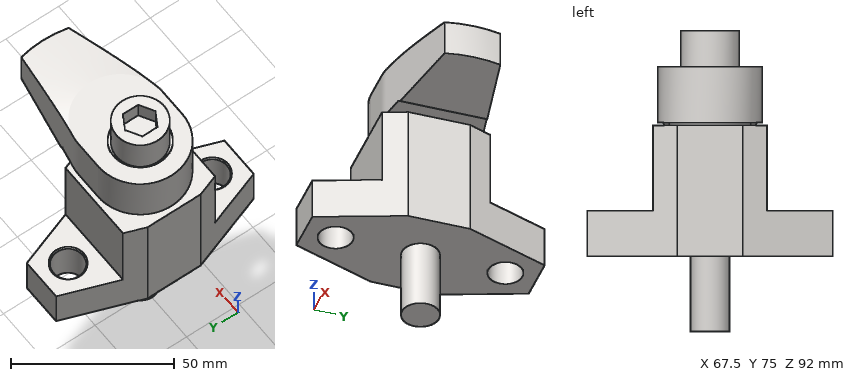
import cadquery as cq
import math


total_height = 92.0
base_height = 40.0
screw_protrusion = 23.0
head_rise = 11.0
lever_top = total_height - screw_protrusion - head_rise

base_half_width = 17.5
base_side_half_length = 10.0
base_half_length = 37.5
base_end_half_width = 7.5
flange_thickness = 14.0
block_length = 35.0
mount_hole_diameter = 11.0
mount_hole_offset = 27.4
mount_hole_chamfer = 0.5

shank_diameter = 12.0
head_diameter = 18.0
socket_across_flats = 10.0
socket_depth = 6.0
head_recess = 1.0

hub_radius = 16.0
hub_centre_spacing = 10.0
hub_gap = 0.8
collar_diameter = 25.0
counterbore_diameter = 20.0
tip_radius = 40.0
tip_half_width = 9.0
tip_drop = 6.0
pad_start = 21.8
cutter_margin = 4.6


def make_base():
    """Tapered flange with a raised centre block, mounting holes and screw bore."""
    quarter = [
        (base_end_half_width, base_half_length),
        (base_half_width, base_side_half_length),
    ]
    right_side = quarter + [(x, -y) for x, y in reversed(quarter)]
    outline = right_side + [(-x, y) for x, y in reversed(right_side)]
    body = cq.Workplane("XY").polyline(outline).close().extrude(base_height)

    for side in (-1, 1):
        cut_length = base_half_length - block_length / 2
        step = (
            cq.Workplane("XY", origin=(0, side * (block_length + cut_length) / 2, flange_thickness))
            .box(2 * base_half_width, cut_length, base_height - flange_thickness,
                 centered=(True, True, False))
        )
        body = body.cut(step)

    holes = (
        cq.Workplane("XY")
        .pushPoints([(0, -mount_hole_offset), (0, mount_hole_offset)])
        .circle(mount_hole_diameter / 2)
        .extrude(flange_thickness)
    )
    holes = holes.union(
        cq.Workplane("XY", origin=(0, 0, flange_thickness - mount_hole_chamfer))
        .pushPoints([(0, -mount_hole_offset), (0, mount_hole_offset)])
        .circle(mount_hole_diameter / 2)
        .extrude(mount_hole_chamfer, taper=-45)
    )
    bore = cq.Workplane("XY").circle(shank_diameter / 2).extrude(base_height)
    return body.cut(holes).cut(bore)


def lever_plan():
    """Round-ended hub whose far end runs tangentially into a tapered arm."""
    corner_x = math.sqrt(tip_radius**2 - tip_half_width**2)
    corner_angle = math.atan2(tip_half_width, corner_x)
    tangent_angle = corner_angle + math.acos(hub_radius / tip_radius)

    def around_hub(radius, angle):
        return (hub_centre_spacing + radius * math.cos(angle), radius * math.sin(angle))

    return (
        cq.Workplane("XY", origin=(0, 0, base_height))
        .moveTo(0, -hub_radius)
        .lineTo(hub_centre_spacing, -hub_radius)
        .threePointArc(around_hub(hub_radius, -(math.pi / 2 + tangent_angle) / 2),
                       around_hub(hub_radius, -tangent_angle))
        .lineTo(*around_hub(tip_radius, -corner_angle))
        .threePointArc(around_hub(tip_radius, 0), around_hub(tip_radius, corner_angle))
        .lineTo(*around_hub(hub_radius, tangent_angle))
        .threePointArc(around_hub(hub_radius, (math.pi / 2 + tangent_angle) / 2),
                       (hub_centre_spacing, hub_radius))
        .lineTo(0, hub_radius)
        .threePointArc((-hub_radius, 0), (0, -hub_radius))
        .close()
    )


def sloped_top_cutter():
    """Conical ring above the arm, centred on the outer hub centre."""
    outer_radius = tip_radius + cutter_margin
    outer_drop = tip_drop * (outer_radius - hub_radius) / (tip_radius - hub_radius)
    return (
        cq.Workplane("XZ")
        .polyline([(hub_radius, 0), (outer_radius, 0), (outer_radius, -outer_drop)])
        .close()
        .revolve(360, (0, 0), (0, 1))
        .translate((hub_centre_spacing, 0, lever_top))
        .intersect(cq.Workplane("XY", origin=(hub_centre_spacing, 0, 0))
                   .box(outer_radius, 2 * outer_radius, 2 * total_height,
                        centered=(False, True, True)))
    )


def hub_relief():
    """Clearance under the hub, ending in a 45 degree slope down to the arm."""
    relief_start = -2 * hub_radius
    return (
        cq.Workplane("XZ", origin=(0, 0, base_height))
        .polyline([
            (relief_start, 0),
            (pad_start, 0),
            (pad_start - hub_gap, hub_gap),
            (relief_start, hub_gap),
        ])
        .close()
        .extrude(2 * hub_radius, both=True)
    )


def make_lever():
    """Clamping lever with collar, screw bore and shallow head counterbore."""
    body = lever_plan().extrude(lever_top - base_height)
    body = body.cut(sloped_top_cutter()).cut(hub_relief())

    collar = (
        cq.Workplane("XY", origin=(0, 0, base_height))
        .circle(collar_diameter / 2)
        .extrude(hub_gap)
    )
    bore = (
        cq.Workplane("XY", origin=(0, 0, base_height))
        .circle(shank_diameter / 2)
        .extrude(lever_top - base_height)
    )
    counterbore = (
        cq.Workplane("XY", origin=(0, 0, lever_top - head_recess))
        .circle(counterbore_diameter / 2)
        .extrude(head_recess)
    )
    return body.union(collar).cut(bore).cut(counterbore)


def make_screw():
    """Socket head screw passing through the lever and the base."""
    head_bottom = lever_top - head_recess
    shank = (
        cq.Workplane("XY", origin=(0, 0, -screw_protrusion))
        .circle(shank_diameter / 2)
        .extrude(screw_protrusion + head_bottom)
    )
    head = (
        cq.Workplane("XY", origin=(0, 0, head_bottom))
        .circle(head_diameter / 2)
        .extrude(head_recess + head_rise)
    )
    across_corners = socket_across_flats / math.cos(math.pi / 6)
    socket = (
        cq.Workplane("XY", origin=(0, 0, lever_top + head_rise - socket_depth))
        .transformed(rotate=(0, 0, 30))
        .polygon(6, across_corners)
        .extrude(socket_depth)
    )
    return shank.union(head).cut(socket)


base = make_base()
lever = make_lever()
screw = make_screw()

result = cq.Compound.makeCompound([base.solids().val(), lever.solids().val(), screw.solids().val()])